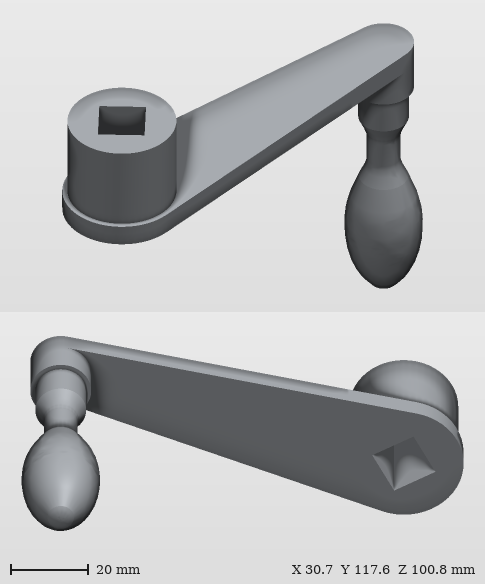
import cadquery as cq
import math

arm_thickness = 5.6
hub_end_radius = 15.35
grip_end_radius = 7.82
total_length = 117.6

hub_diameter = 28.0
hub_height = 22.6
drive_square_side = 12.0

boss_height = 8.7
collar_diameter = 13.0
collar_length = 9.6
taper_length = 6.2
neck_radius = 4.4
neck_length = 6.7
flare_length = 6.1
flare_radius = 6.4
bulb_length = 35.3
bulb_radius = 10.1
bulb_widest_drop = 15.3
tip_radius = 3.4
tip_height = 1.2

straight_down = (0, -1)
straight_in = (-1, 0)
taper_direction = (-0.35, -1)
flare_direction = (0.45, -1)
tip_direction = (-1, -1)

grip_y = total_length - hub_end_radius - bulb_radius


def make_arm():
    """Plate from Z = 0 upward, with the hub axis at the origin."""
    sine = (hub_end_radius - grip_end_radius) / grip_y
    cosine = math.sqrt(1 - sine**2)
    hub_x, hub_y = hub_end_radius * cosine, hub_end_radius * sine
    end_x = grip_end_radius * cosine
    end_y = grip_y + grip_end_radius * sine
    return (
        cq.Workplane("XY")
        .moveTo(hub_x, hub_y)
        .lineTo(end_x, end_y)
        .threePointArc((0, grip_y + grip_end_radius), (-end_x, end_y))
        .lineTo(-hub_x, hub_y)
        .threePointArc((0, -hub_end_radius), (hub_x, hub_y))
        .close()
        .extrude(arm_thickness)
    )


def make_hub():
    return cq.Workplane("XY").circle(hub_diameter / 2).extrude(arm_thickness + hub_height)


def make_drive_hole():
    return (
        cq.Workplane("XY")
        .rect(drive_square_side, drive_square_side)
        .extrude(arm_thickness + hub_height)
        .rotate((0, 0, 0), (0, 0, 1), 45)
    )


def make_grip():
    """Boss, collar, neck and bulb revolved about the grip axis."""
    collar_radius = collar_diameter / 2
    boss_end = -boss_height
    collar_end = boss_end - collar_length
    taper_end = collar_end - taper_length
    neck_end = taper_end - neck_length
    flare_end = neck_end - flare_length
    widest = flare_end - bulb_widest_drop
    tip = flare_end - bulb_length
    tip_start = tip + tip_height
    profile = (
        cq.Workplane("XZ")
        .moveTo(0, arm_thickness)
        .lineTo(grip_end_radius, arm_thickness)
        .lineTo(grip_end_radius, boss_end)
        .lineTo(collar_radius, boss_end)
        .lineTo(collar_radius, collar_end)
        .spline(
            [(neck_radius, taper_end), (neck_radius, neck_end), (flare_radius, flare_end)],
            tangents=[taper_direction, straight_down, straight_down, flare_direction],
            includeCurrent=True,
        )
        .spline(
            [(bulb_radius, widest), (tip_radius, tip_start)],
            tangents=[flare_direction, straight_down, tip_direction],
            includeCurrent=True,
        )
        .spline([(0, tip)], tangents=[tip_direction, straight_in], includeCurrent=True)
        .close()
    )
    return profile.revolve(360, (0, 0), (0, 1)).translate((0, grip_y, 0))


result = make_arm().union(make_hub()).union(make_grip()).cut(make_drive_hole())